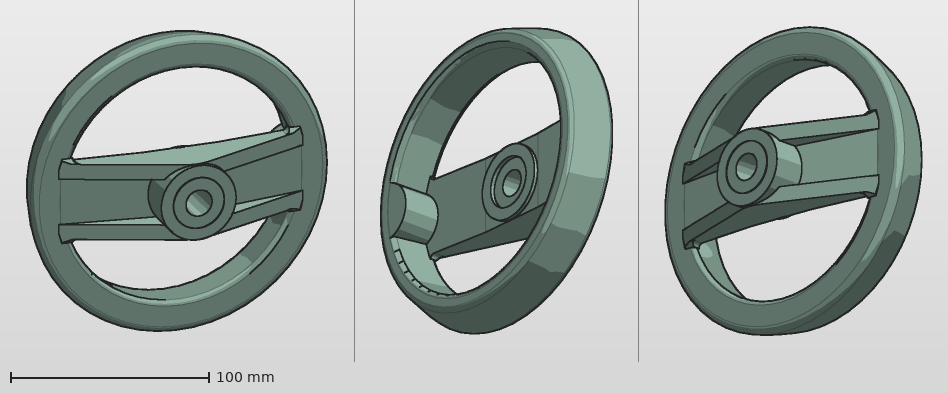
import cadquery as cq
import math

rim_radius = 80.0
rim_depth = 24.8
crest_x = 21.3
crown_x = 1.9
crown_start_radius = 74.5
crown_bulge = 0.5
front_outer_radius = 71.8
front_inner_radius = 67.5
inner_front_radius = 64.9
inner_back_radius = 62.8
inner_round = 2.4
seat_radius = 68.0

hub_diameter = 40.3
hub_front_x = 22.4
hub_back_x = 50.5
recess_diameter = 27.3
recess_depth = 2.4
pad_height = 0.5
bore_diameter = 14.0

spoke_half_width = 20.5
channel_half_width = 12.3
window_round = 2.4
plate_front_x = 24.5
plate_slope = 0.09
plate_thickness = 7.0
channel_slope = 0.15
rib_apex_x = 50.12
rib_slope = 0.385
rib_apex_round = 19.2

grip_radius = 15.8
grip_center_y = 69.0
grip_outer_radius = 70.3


def disc(radius, start_x, end_x, center_y=0.0):
    """Cylinder along X."""
    return (
        cq.Workplane("YZ", origin=(start_x, center_y, 0))
        .circle(radius)
        .extrude(end_x - start_x)
    )


def slab(outline, half_width):
    """Extrude an XY outline symmetrically along Z."""
    return outline.extrude(half_width, both=True)


def make_rim():
    crown_middle = (
        (crown_x + crest_x) / 2,
        (crown_start_radius + rim_radius) / 2 + crown_bulge,
    )
    corner = inner_round * (1 - math.sqrt(0.5))
    outer_round = rim_depth - crest_x
    outer_corner = outer_round * (1 - math.sqrt(0.5))
    back_corner = (rim_depth - outer_corner, rim_radius - outer_corner)
    front_outer_corner = (0.56, crown_start_radius - 1.1)
    section = (
        cq.Workplane("XY")
        .moveTo(0, front_inner_radius)
        .lineTo(0, front_outer_radius)
        .threePointArc(front_outer_corner, (crown_x, crown_start_radius))
        .threePointArc(crown_middle, (crest_x, rim_radius))
        .threePointArc(back_corner, (rim_depth, rim_radius - outer_round))
        .lineTo(rim_depth, inner_back_radius + inner_round)
        .threePointArc(
            (rim_depth - corner, inner_back_radius + corner),
            (rim_depth - inner_round, inner_back_radius),
        )
        .lineTo(inner_round, inner_front_radius)
        .threePointArc((corner, inner_front_radius + corner), (0, front_inner_radius))
        .close()
    )
    return section.revolve(360, (0, 0, 0), (1, 0, 0))


def make_spoke():
    hub_radius = hub_diameter / 2
    end_front_x = plate_front_x - plate_slope * (seat_radius - hub_radius)
    end_back_x = rib_apex_x - rib_slope * seat_radius

    rib_angle = math.atan(rib_slope)
    tangent_y = rib_apex_round * math.sin(rib_angle)
    tangent_x = rib_apex_x - rib_slope * tangent_y
    peak_x = rib_apex_x - rib_apex_round * (1 / math.cos(rib_angle) - 1)
    body = slab(
        cq.Workplane("XY")
        .moveTo(plate_front_x, -hub_radius)
        .lineTo(plate_front_x, hub_radius)
        .lineTo(end_front_x, seat_radius)
        .lineTo(end_back_x, seat_radius)
        .lineTo(tangent_x, tangent_y)
        .threePointArc((peak_x, 0), (tangent_x, -tangent_y))
        .lineTo(end_back_x, -seat_radius)
        .lineTo(end_front_x, -seat_radius)
        .close(),
        spoke_half_width + window_round,
    )

    floor_center_x = plate_front_x + plate_thickness + channel_slope * hub_radius
    floor_end_x = floor_center_x - channel_slope * seat_radius
    channel = slab(
        cq.Workplane("XY")
        .moveTo(floor_center_x, 0)
        .lineTo(floor_end_x, seat_radius)
        .lineTo(hub_back_x, seat_radius)
        .lineTo(hub_back_x, -seat_radius)
        .lineTo(floor_end_x, -seat_radius)
        .close(),
        channel_half_width,
    )
    spoke = body.cut(channel).intersect(disc(seat_radius, 0, hub_back_x))

    flare_half_width = spoke_half_width + window_round
    flare_end_x = rim_depth + window_round
    flare_limit = (
        cq.Workplane("XZ")
        .moveTo(0, -flare_half_width)
        .lineTo(rim_depth, -flare_half_width)
        .lineTo(flare_end_x, -spoke_half_width)
        .lineTo(hub_back_x, -spoke_half_width)
        .lineTo(hub_back_x, spoke_half_width)
        .lineTo(flare_end_x, spoke_half_width)
        .lineTo(rim_depth, flare_half_width)
        .lineTo(0, flare_half_width)
        .close()
        .extrude(seat_radius, both=True)
    )
    spoke = spoke.intersect(flare_limit)

    chord_y = math.sqrt(inner_back_radius**2 - spoke_half_width**2)
    for side in (1, -1):
        window = (
            cq.Workplane("YZ")
            .moveTo(-chord_y, side * spoke_half_width)
            .threePointArc((0, side * inner_back_radius), (chord_y, side * spoke_half_width))
            .close()
            .extrude(hub_back_x)
            .edges("|X")
            .fillet(window_round)
        )
        spoke = spoke.cut(window)
    return spoke


def make_grip():
    grip = disc(grip_radius, 0, plate_front_x, grip_center_y)
    return grip.intersect(disc(grip_outer_radius, 0, plate_front_x))


def make_hub():
    hub = disc(hub_diameter / 2, hub_front_x, hub_back_x)
    return hub.union(disc(recess_diameter / 2, hub_back_x, hub_back_x + pad_height))


recess = disc(recess_diameter / 2, hub_front_x, hub_front_x + recess_depth)
bore = disc(bore_diameter / 2, hub_front_x, hub_back_x + pad_height)

result = make_rim().union(make_spoke()).union(make_grip()).union(make_hub())
result = result.cut(recess).cut(bore)